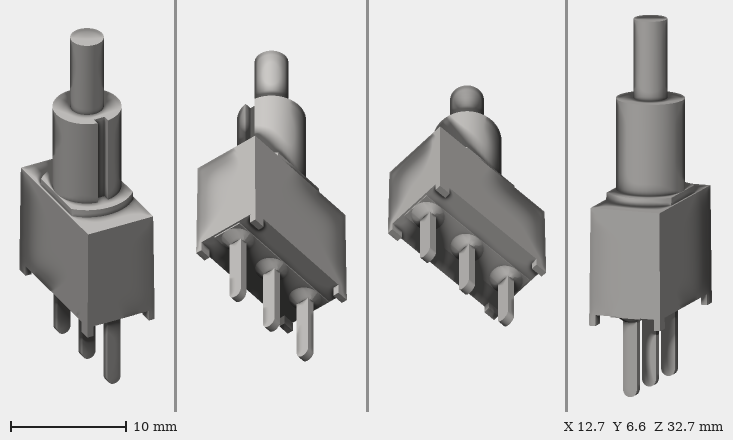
import cadquery as cq

total_height = 32.65
bushing_top = 25.6
flange_top = 17.5
body_top = 16.82
body_floor = 7.35
foot_bottom = 6.37

body_length = 12.7
body_width = 6.6
draft_inset = 0.1
foot_gap_length = 10.4
foot_gap_width = 5.45

plunger_diameter = 2.95
bushing_diameter = 6.0
keyway_width = 1.0
keyway_floor_x = 2.3
flange_base_diameter = 8.4
flange_top_diameter = 8.25
flange_flat_width = 6.05

lead_pitch = 4.67
lead_thickness = 0.75
lead_width = 1.27
sealant_layer_depth = 0.13
sealant_depth = 0.7
sealant_base_length = 3.0
sealant_base_width = 2.75
sealant_length = 2 * lead_pitch + sealant_base_length
sealant_tip_length = 0.9
sealant_tip_width = 1.45


def cylinder(diameter, bottom, top):
    return cq.Workplane("XY").workplane(offset=bottom).circle(diameter / 2).extrude(top - bottom)


def block(length, width, bottom, top):
    return (
        cq.Workplane("XY").workplane(offset=bottom)
        .rect(length, width).extrude(top - bottom)
    )


def make_body():
    """Drafted box with notches crossing both ways, leaving four corner feet."""
    body = (
        cq.Workplane("XY").workplane(offset=foot_bottom)
        .rect(body_length, body_width)
        .workplane(offset=body_top - foot_bottom)
        .rect(body_length - 2 * draft_inset, body_width - 2 * draft_inset)
        .loft(ruled=True)
    )
    length_notch = block(foot_gap_length, body_width, foot_bottom, body_floor)
    width_notch = block(body_length, foot_gap_width, foot_bottom, body_floor)
    return body.cut(length_notch).cut(width_notch)


def make_flange():
    """Slightly conical collar with two flats facing front and back."""
    collar = (
        cq.Workplane("XY").workplane(offset=body_top)
        .circle(flange_base_diameter / 2)
        .workplane(offset=flange_top - body_top)
        .circle(flange_top_diameter / 2)
        .loft(ruled=True)
    )
    return collar.intersect(block(flange_base_diameter, flange_flat_width, body_top, flange_top))


def make_bushing():
    """Cylinder with a full-length keyway on its +X side."""
    bushing = cylinder(bushing_diameter, flange_top, bushing_top)
    keyway = block(bushing_diameter, keyway_width, flange_top, bushing_top)
    return bushing.cut(keyway.translate((keyway_floor_x + bushing_diameter / 2, 0, 0)))


def make_lead(x):
    """Flat lead with a fully rounded tip and a tapered sealant fillet at its root."""
    tip_radius = lead_width / 2
    lead = (
        cq.Workplane("YZ").workplane(offset=x - lead_thickness / 2)
        .moveTo(-tip_radius, body_floor)
        .lineTo(-tip_radius, tip_radius)
        .threePointArc((0, 0), (tip_radius, tip_radius))
        .lineTo(tip_radius, body_floor)
        .close()
        .extrude(lead_thickness)
    )
    sealant = (
        cq.Workplane("XY", origin=(x, 0, body_floor - sealant_layer_depth))
        .ellipse(sealant_base_length / 2, sealant_base_width / 2)
        .workplane(offset=sealant_layer_depth - sealant_depth)
        .ellipse(sealant_tip_length / 2, sealant_tip_width / 2)
        .loft(ruled=True)
    )
    return lead.union(sealant)


result = make_body().union(make_flange()).union(make_bushing())
sealant_layer = block(sealant_length, sealant_base_width, body_floor - sealant_layer_depth, body_floor)
result = result.union(sealant_layer)
result = result.union(cylinder(plunger_diameter, bushing_top, total_height))
for lead_x in (-lead_pitch, 0, lead_pitch):
    result = result.union(make_lead(lead_x))